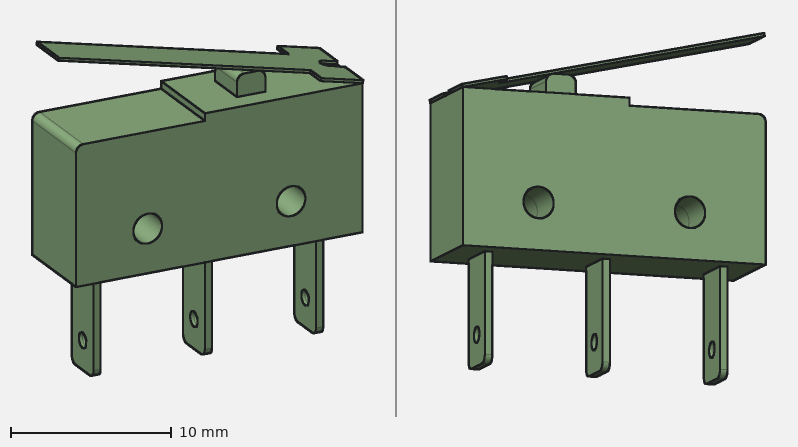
import cadquery as cq
import math

overall_height = 21.92

housing_width = 6.0
housing_length = 20.0
housing_height = 10.0
step_from_back = 11.0
step_drop = 0.5
edge_radius = 0.5
back_y = housing_length / 2
front_y = -housing_length / 2

mount_hole_diameter = 2.0
mount_hole_spacing = housing_length / 2
mount_hole_z = 3.0

plunger_width = housing_width / 2
plunger_length = 1.97
plunger_height = 1.5
plunger_from_back = 6.03

lever_angle = 13.0
lever_length = 21.0
lever_thickness = 0.2
lever_arm_width = housing_width / 2
lever_head_length = 3.0
lever_slot_width = 1.0
lever_slot_depth = 1.5

lever_rise = (lever_length * math.sin(math.radians(lever_angle))
              + lever_thickness * math.cos(math.radians(lever_angle)))
terminal_length = overall_height - housing_height - lever_rise
terminal_width = housing_width / 2
terminal_thickness = 0.5
terminal_count = 3
terminal_spacing = 7.75
terminal_hole_diameter = 1.0
terminal_hole_from_tip = 2.0


def make_case():
    """Stepped block with a rounded front edge and two mounting holes."""
    step_y = back_y - step_from_back
    low_top = housing_height - step_drop
    profile = [
        (front_y, 0),
        (back_y, 0),
        (back_y, housing_height),
        (step_y, housing_height),
        (step_y, low_top),
        (front_y, low_top),
    ]
    case = cq.Workplane("YZ").polyline(profile).close().extrude(housing_width / 2, both=True)
    case = case.faces("<Y").edges(">Z").fillet(edge_radius)
    holes = (
        cq.Workplane("YZ")
        .pushPoints([(-mount_hole_spacing / 2, mount_hole_z), (mount_hole_spacing / 2, mount_hole_z)])
        .circle(mount_hole_diameter / 2)
        .extrude(housing_width, both=True)
    )
    return case.cut(holes)


def make_plunger():
    """Block with its two top cross edges rounded."""
    center_y = back_y - plunger_from_back - plunger_length / 2
    return (
        cq.Workplane("XY", origin=(0, center_y, housing_height))
        .box(plunger_width, plunger_length, plunger_height, centered=(True, True, False))
        .faces(">Z").edges("|X")
        .fillet(edge_radius)
    )


def make_terminal(center_y):
    """Blade below the housing with a rounded tip and an eyelet hole."""
    blade = (
        cq.Workplane("XY", origin=(0, center_y, -terminal_length))
        .box(terminal_width, terminal_thickness, terminal_length, centered=(True, True, False))
        .faces("<Z").edges("|Y")
        .fillet(edge_radius)
    )
    hole = (
        cq.Workplane("XZ", origin=(0, center_y, terminal_hole_from_tip - terminal_length))
        .circle(terminal_hole_diameter / 2)
        .extrude(terminal_thickness, both=True)
    )
    return blade.cut(hole)


def make_housing():
    """Case, plunger and terminals as one solid."""
    housing = make_case().union(make_plunger())
    for index in range(terminal_count):
        center_y = (index - (terminal_count - 1) / 2) * terminal_spacing
        housing = housing.union(make_terminal(center_y))
    return housing


def make_lever():
    """T-shaped plate with a round-ended slot in its head, tilted up towards the front."""
    head_x = housing_width / 2
    arm_x = lever_arm_width / 2
    slot_x = lever_slot_width / 2
    slot_straight = lever_slot_depth - slot_x
    plate = (
        cq.Workplane("XY")
        .moveTo(slot_x, 0)
        .lineTo(head_x, 0)
        .lineTo(head_x, -lever_head_length)
        .lineTo(arm_x, -lever_head_length)
        .lineTo(arm_x, -lever_length)
        .lineTo(-arm_x, -lever_length)
        .lineTo(-arm_x, -lever_head_length)
        .lineTo(-head_x, -lever_head_length)
        .lineTo(-head_x, 0)
        .lineTo(-slot_x, 0)
        .lineTo(-slot_x, -slot_straight)
        .threePointArc((0, -lever_slot_depth), (slot_x, -slot_straight))
        .close()
        .extrude(lever_thickness)
    )
    tilted = plate.rotate((0, 0, 0), (1, 0, 0), -lever_angle)
    return tilted.translate((0, back_y, housing_height))


housing = make_housing()
lever = make_lever()
result = cq.Compound.makeCompound([housing.solids().val(), lever.solids().val()])